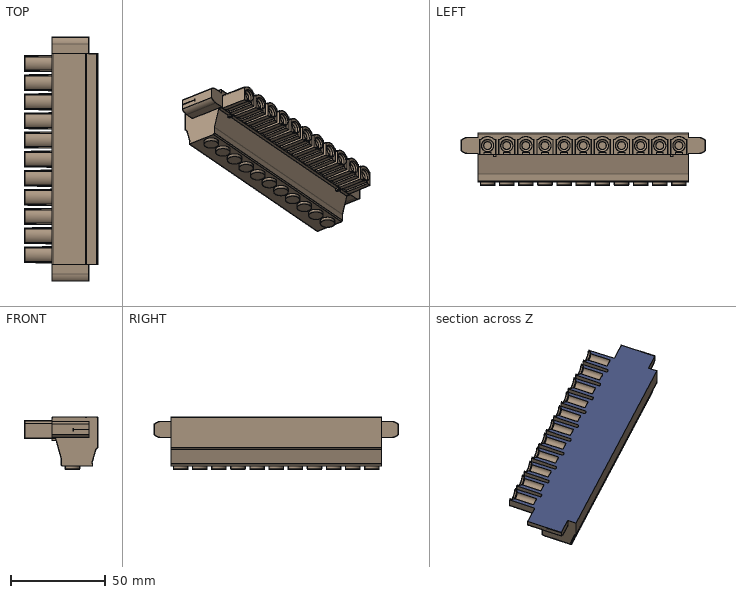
import cadquery as cq
import math

pole_count = 11
first_to_last_pole = 101.5
pole_pitch = first_to_last_pole / (pole_count - 1)
pole_positions = [(index - (pole_count - 1) / 2) * pole_pitch for index in range(pole_count)]

body_length = 111.9
body_front_x = 14.5
body_back_x = 38.9
body_top_z = 27.8
body_base_z = 1.7
shelf_z = 16.3
shelf_back_x = 16.5
base_front_x = 19.3
front_slope_end_z = 6.0
base_front_chamfer = 0.6
base_back_x = 36.1
lip_top_z = 2.8
neck_x = 35.7
neck_z = 3.2
back_slope_top_x = 37.8
back_slope_top_z = 10.6
back_wall_base_z = 11.5
top_front_radius = 0.8
top_back_chamfer_width = 0.6
top_back_chamfer_drop = 0.3

groove_x = 32.5
groove_width = 0.4
groove_depth = 0.3

socket_base_z = 16.5
socket_tip_width = 8.3
socket_root_width = 8.7
socket_shoulder_z = 24.3
crown_radius = 4.8
crown_top_z = 25.9
bore_z = crown_top_z - crown_radius
bore_radius = 2.1
bore_mouth_radius = 3.2
bore_mouth_depth = 1.2
bore_cone_depth = 0.8
bore_depth = 13.0
underside_notch_width = 3.6
underside_notch_height = 1.0

overall_length = 129.5
lug_back_x = 34.0
lug_top_z = 25.5
lug_base_z = 16.8
lug_round_length = 3.8
lug_round_drop = 1.5
lug_slit_front_x = 25.8
lug_slit_z = 21.1
lug_slit_width = 0.1
lug_slit_end_height = 1.3
lug_slit_depth = 0.1

foot_back_x = 16.7
foot_base_z = 15.3
foot_width = 1.4
foot_y = 47.0

screw_x = 25.4
screw_radius = 3.9
screw_edge_width = 0.06
screw_edge_height = 0.5


def make_body():
    profile = cq.Workplane("XZ").polyline([
        (body_front_x, shelf_z),
        (shelf_back_x, shelf_z),
        (base_front_x, front_slope_end_z),
        (base_front_x, body_base_z + base_front_chamfer),
        (base_front_x + base_front_chamfer, body_base_z),
        (base_back_x, body_base_z),
        (base_back_x, lip_top_z),
        (neck_x, neck_z),
        (back_slope_top_x, back_slope_top_z),
        (body_back_x, back_wall_base_z),
        (body_back_x, body_top_z - top_back_chamfer_drop),
        (body_back_x - top_back_chamfer_width, body_top_z),
        (body_front_x + top_front_radius, body_top_z),
    ]).radiusArc((body_front_x, body_top_z - top_front_radius), -top_front_radius).close()
    body = profile.extrude(body_length / 2, both=True)
    groove = cq.Workplane("XY").box(groove_width, body_length, 2 * groove_depth)
    return body.cut(groove.translate((groove_x, 0, body_top_z)))


def make_lug_bar():
    """One bar crosses the housing; its two rounded ends are the lugs."""
    tip_y = overall_length / 2
    round_start_y = tip_y - lug_round_length
    round_radius = (lug_round_length**2 + lug_round_drop**2) / (2 * lug_round_drop)
    half_angle = math.asin(lug_round_length / round_radius) / 2
    mid_y = round_start_y + round_radius * math.sin(half_angle)
    mid_drop = round_radius * (1 - math.cos(half_angle))
    return (
        cq.Workplane("YZ", origin=(body_front_x, 0, 0))
        .moveTo(-round_start_y, lug_top_z)
        .lineTo(round_start_y, lug_top_z)
        .threePointArc((mid_y, lug_top_z - mid_drop), (tip_y, lug_top_z - lug_round_drop))
        .lineTo(tip_y, lug_base_z + lug_round_drop)
        .threePointArc((mid_y, lug_base_z + mid_drop), (round_start_y, lug_base_z))
        .lineTo(-round_start_y, lug_base_z)
        .threePointArc((-mid_y, lug_base_z + mid_drop), (-tip_y, lug_base_z + lug_round_drop))
        .lineTo(-tip_y, lug_top_z - lug_round_drop)
        .threePointArc((-mid_y, lug_top_z - mid_drop), (-round_start_y, lug_top_z))
        .close()
        .extrude(lug_back_x - body_front_x)
    )


def make_lug_slits():
    """Fine T-shaped slit in the end face of each lug."""
    slit_length = lug_back_x - lug_slit_front_x
    across_both_ends = overall_length
    stem = cq.Workplane("XY").box(
        slit_length, across_both_ends, lug_slit_width, centered=(False, True, True)
    )
    end_bar = cq.Workplane("XY").box(lug_slit_width, across_both_ends, lug_slit_end_height)
    core = cq.Workplane("XY").box(
        4 * slit_length, overall_length - 2 * lug_slit_depth, 2 * lug_slit_end_height
    )
    return stem.union(end_bar).cut(core).translate((lug_slit_front_x, 0, lug_slit_z))


def make_socket():
    height = socket_shoulder_z - socket_base_z
    middle_z = (socket_shoulder_z + socket_base_z) / 2
    shank = (
        cq.Workplane("YZ")
        .center(0, middle_z)
        .rect(socket_tip_width, height)
        .workplane(offset=body_front_x)
        .rect(socket_root_width, height)
        .loft()
    )
    shoulder_rise = socket_shoulder_z - bore_z
    crown_half_width = math.sqrt(crown_radius**2 - shoulder_rise**2)
    crown = (
        cq.Workplane("YZ")
        .moveTo(-crown_half_width, socket_shoulder_z)
        .threePointArc((0, crown_top_z), (crown_half_width, socket_shoulder_z))
        .close()
        .extrude(body_front_x)
    )
    notch = cq.Workplane("XY").box(
        body_front_x, underside_notch_width, underside_notch_height, centered=(False, True, False)
    )
    return shank.union(crown).cut(notch.translate((0, 0, socket_base_z)))


def make_bore():
    """Straight mouth, conical funnel, then a blind bore, along X."""
    cone_end_x = bore_mouth_depth + bore_cone_depth
    return (
        cq.Workplane("XZ")
        .polyline([
            (0, 0),
            (0, bore_mouth_radius),
            (bore_mouth_depth, bore_mouth_radius),
            (cone_end_x, bore_radius),
            (bore_depth, bore_radius),
            (bore_depth, 0),
        ])
        .close()
        .revolve(360, (0, 0, 0), (1, 0, 0))
        .translate((0, 0, bore_z))
    )


def make_screw_head():
    shape = cq.Workplane("XZ").polyline([
        (0, 0),
        (screw_radius - screw_edge_width, 0),
        (screw_radius, screw_edge_height),
        (screw_radius, body_base_z),
        (0, body_base_z),
    ]).close()
    return shape.revolve(360, (0, 0, 0), (0, 1, 0)).translate((screw_x, 0, 0))


def make_foot():
    foot = cq.Workplane("XY").box(
        foot_back_x - body_front_x, foot_width, shelf_z - foot_base_z, centered=(False, True, False)
    )
    return foot.translate((body_front_x, 0, foot_base_z))


result = make_body().union(make_lug_bar()).cut(make_lug_slits())

for y in (-foot_y, foot_y):
    result = result.union(make_foot().translate((0, y, 0)))

pole = make_socket().cut(make_bore()).union(make_screw_head())
for y in pole_positions:
    result = result.union(pole.translate((0, y, 0)))